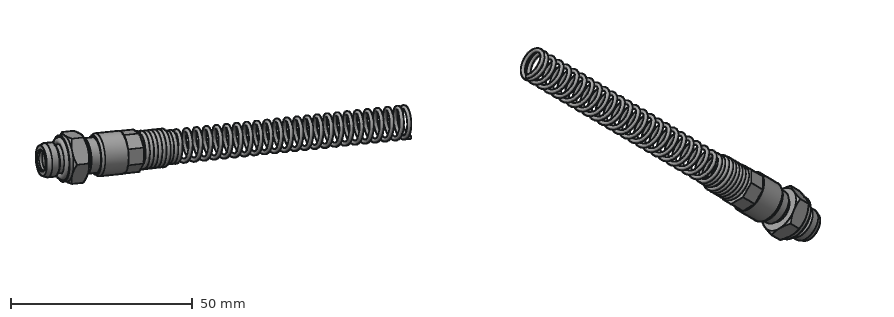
import cadquery as cq
import math


thread_diameter = 9.6
thread_end_y = 3.5
end_chamfer_length = 1.4
end_diameter = 8.5
neck_diameter = 8.0
thread_runout_length = 0.5
flange_face_y = 5.9
flange_diameter = 13.0
hex_start_y = 7.0
hex_end_y = 11.7
hex_across_flats = 13.0
hex_corner_diameter = hex_across_flats / math.cos(math.pi / 6)
hex_chamfer_length = 0.7
shoulder_diameter = 9.9
shoulder_start_y = 13.0
bore_diameter = 5.5
bore_mouth_diameter = 6.2
bore_depth = 1.3
bore_chamfer = (bore_mouth_diameter - bore_diameter) / 2

o_ring_outer_diameter = 12.0
o_ring_tube_radius = (o_ring_outer_diameter - neck_diameter) / 4
o_ring_center_radius = (o_ring_outer_diameter + neck_diameter) / 4

nut_diameter = 12.0
nut_start_y = 15.7
nut_chamfer_length = 0.9
nut_end_diameter = 10.9
octagon_start_y = 23.5
octagon_end_y = 28.1
octagon_across_flats = 11.0
octagon_sides = 8

overall_length = 109
wire_diameter = 1.2
mouth_coil_radius = 4.8
coil_radius = 4.2
close_pitch = 1.23
open_pitch = 2.98
mouth_turns = 6.0
taper_turns = 0.5
close_turns = 8.75
open_turns = 22.5
tip_turns = 1.3
spring_start_y = octagon_end_y + wire_diameter / 2
spring_tip_y = overall_length - wire_diameter / 2
start_angle = math.pi / 2
points_per_turn = 12


def revolve_about_y(profile):
    """Turn a closed (radius, y) profile about the Y axis."""
    return profile.close().revolve(360, (0, 0), (0, 1))


def polygon_prism(sides, across_flats, start_y, end_y, turn):
    """Regular prism along Y, turned about Y by the given angle in degrees."""
    corner_diameter = across_flats / math.cos(math.pi / sides)
    prism = cq.Workplane("XZ").polygon(sides, corner_diameter).extrude(start_y - end_y)
    return prism.rotate((0, 0, 0), (0, 1, 0), turn).translate((0, start_y, 0))


def make_o_ring():
    profile = cq.Workplane("XY").center(o_ring_center_radius, flange_face_y).circle(o_ring_tube_radius)
    return profile.revolve(360, (-o_ring_center_radius, 0), (-o_ring_center_radius, 1))


def make_hexagon():
    """Hexagon with its corners turned down at both ends."""
    hexagon = polygon_prism(6, hex_across_flats, hex_start_y, hex_end_y, 0)
    corner_radius = hex_corner_diameter / 2
    flange_radius = flange_diameter / 2
    envelope = revolve_about_y(
        cq.Workplane("XY").polyline([
            (0, hex_start_y),
            (flange_radius, hex_start_y),
            (corner_radius, hex_start_y + hex_chamfer_length),
            (corner_radius, hex_end_y - hex_chamfer_length),
            (flange_radius, hex_end_y),
            (0, hex_end_y),
        ])
    )
    return hexagon.intersect(envelope)


def make_stud(o_ring):
    thread_radius = thread_diameter / 2
    neck_radius = neck_diameter / 2
    shoulder_radius = shoulder_diameter / 2
    flange_radius = flange_diameter / 2
    turned = revolve_about_y(
        cq.Workplane("XY").polyline([
            (0, bore_depth),
            (bore_diameter / 2, bore_depth),
            (bore_diameter / 2, bore_chamfer),
            (bore_mouth_diameter / 2, 0),
            (end_diameter / 2, 0),
            (thread_radius, end_chamfer_length),
            (thread_radius, thread_end_y),
            (neck_radius, thread_end_y + thread_runout_length),
            (neck_radius, flange_face_y),
            (flange_radius, flange_face_y),
            (flange_radius, hex_start_y),
            (neck_radius, hex_start_y),
            (neck_radius, shoulder_start_y),
            (shoulder_radius, shoulder_start_y),
            (shoulder_radius, nut_start_y),
            (0, nut_start_y),
        ])
    )
    return turned.union(make_hexagon()).cut(o_ring)


def make_nut():
    """Round collar with a chamfered front, and an octagonal grip behind it."""
    nut_radius = nut_diameter / 2
    collar = revolve_about_y(
        cq.Workplane("XY").polyline([
            (0, nut_start_y),
            (nut_end_diameter / 2, nut_start_y),
            (nut_radius, nut_start_y + nut_chamfer_length),
            (nut_radius, octagon_start_y),
            (0, octagon_start_y),
        ])
    )
    half_side_angle = 180 / octagon_sides
    grip = polygon_prism(octagon_sides, octagon_across_flats, octagon_start_y, octagon_end_y, half_side_angle)
    return collar.union(grip)


def spring_point(turns):
    """Point on the wire's centre line after this many turns from the nut."""
    open_start_y = spring_start_y + close_turns * close_pitch
    open_end_y = open_start_y + open_turns * open_pitch
    open_end = close_turns + open_turns
    if turns < close_turns:
        y = spring_start_y + turns * close_pitch
    elif turns < open_end:
        y = open_start_y + (turns - close_turns) * open_pitch
    else:
        y = open_end_y + (turns - open_end) / tip_turns * (spring_tip_y - open_end_y)
    taper = min(max((turns - mouth_turns) / taper_turns, 0), 1)
    radius = mouth_coil_radius + taper * (coil_radius - mouth_coil_radius)
    angle = start_angle + 2 * math.pi * turns
    return cq.Vector(radius * math.cos(angle), y, radius * math.sin(angle))


def make_spring():
    """Close coils at the nut, open coils along the length and a closing coil at the tip."""
    total_turns = close_turns + open_turns + tip_turns
    steps = round(total_turns * points_per_turn)
    path = cq.Edge.makeSpline([spring_point(total_turns * i / steps) for i in range(steps + 1)])
    start = cq.Plane(origin=path.startPoint(), xDir=(0, 1, 0), normal=path.tangentAt(0))
    wire_section = cq.Workplane(start).circle(wire_diameter / 2)
    return wire_section.sweep(cq.Workplane(path), isFrenet=True)


o_ring = make_o_ring()
stud = make_stud(o_ring)
nut = make_nut()
spring = make_spring()

result = cq.Compound.makeCompound([stud.val(), o_ring.val(), nut.val(), spring.val()])